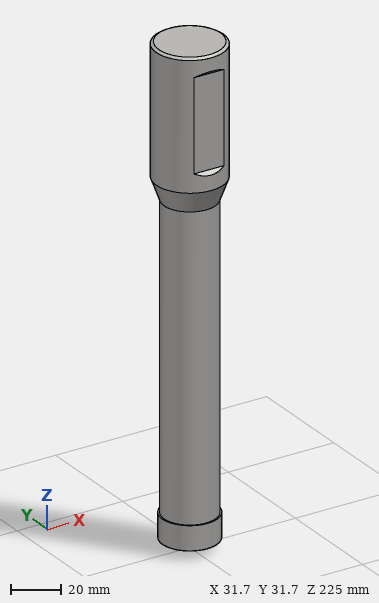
import cadquery as cq
import math

total_length = 225.0

head_diameter = 31.7
head_length = 59.8
top_chamfer = 1.4
top_chamfer_height = 1.0
taper_length = 10.1
shank_diameter = 24.3

flat_width = 14.2
flat_length = 42.8
flat_top_offset = 8.5

tip_diameter = 25.6
collar_length = 11.2
point_angle = 140.0

head_radius = head_diameter / 2
shank_radius = shank_diameter / 2
tip_radius = tip_diameter / 2
point_height = tip_radius / math.tan(math.radians(point_angle / 2))
joint_z = point_height + collar_length
head_bottom_z = total_length - head_length
taper_bottom_z = head_bottom_z - taper_length
flat_distance = math.sqrt(head_radius**2 - (flat_width / 2) ** 2)
flat_top_z = total_length - flat_top_offset
flat_bottom_z = flat_top_z - flat_length


def revolve_about_z(profile):
    """Turn a closed (radius, z) profile one full revolution about Z."""
    return cq.Workplane("XZ").polyline(profile).close().revolve(360, (0, 0), (0, 1))


def make_flat_cutter():
    """Trapezoidal prism that widens outward from the flat at 45 degrees."""
    depth = head_radius
    outer_y = -flat_distance - depth
    profile = [
        (-flat_distance, flat_bottom_z),
        (-flat_distance, flat_top_z),
        (outer_y, flat_top_z + depth),
        (outer_y, flat_bottom_z - depth),
    ]
    return cq.Workplane("YZ").polyline(profile).close().extrude(head_radius, both=True)


def make_holder():
    """Head, taper and shank in one piece, with the clamping flat cut in."""
    blank = revolve_about_z([
        (0, joint_z),
        (shank_radius, joint_z),
        (shank_radius, taper_bottom_z),
        (head_radius, head_bottom_z),
        (head_radius, total_length - top_chamfer_height),
        (head_radius - top_chamfer, total_length),
        (0, total_length),
    ])
    return blank.cut(make_flat_cutter())


def make_tip():
    """Collar and conical point that sit against the end of the shank."""
    return revolve_about_z([
        (0, 0),
        (tip_radius, point_height),
        (tip_radius, joint_z),
        (0, joint_z),
    ])


holder = make_holder()
tip = make_tip()
result = cq.Compound.makeCompound([holder.val(), tip.val()])